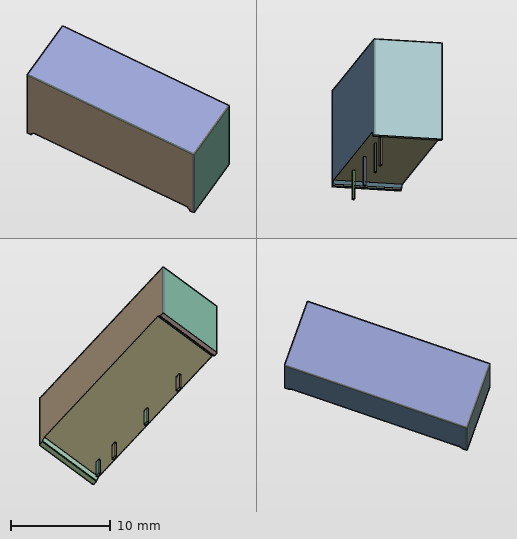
import cadquery as cq

case_length = 19.6
case_depth = 7.11
case_height = 10.13
edge_radius = 0.1

foot_width = 0.5
relief_height = 0.49
relief_chamfer = 0.33

pin_width = 0.49
pin_thickness = 0.2
pin_drop = 2.5
pin_inset = 1.2
pin_row_span = 12.7
pin_row_shift = 0.02
pin_slots = (-3, -2, 0, 2)
pin_pitch = pin_row_span / (max(pin_slots) - min(pin_slots))
pin_embed = 0.4


def make_case():
    """Block standing on Z = 0 with rounded upright and top edges."""
    block = cq.Workplane("XY").box(case_length, case_depth, case_height, centered=(True, True, False))
    return block.edges("|Z or >Z").fillet(edge_radius)


def make_relief():
    """Channel through the full depth, with chamfered upper corners."""
    relief_length = case_length - 2 * foot_width
    channel = cq.Workplane("XY").box(relief_length, case_depth, relief_height, centered=(True, True, False))
    return channel.edges("|Y and >Z").chamfer(relief_chamfer)


def make_pins():
    """Pins hanging from inside the case to below the feet."""
    pin_y = case_depth / 2 - pin_inset
    pin_length = pin_drop + relief_height + pin_embed
    return (
        cq.Workplane("XY", origin=(pin_row_shift, pin_y, -pin_drop))
        .pushPoints([(slot * pin_pitch, 0) for slot in pin_slots])
        .rect(pin_width, pin_thickness)
        .extrude(pin_length)
    )


result = make_case().cut(make_relief()).union(make_pins())